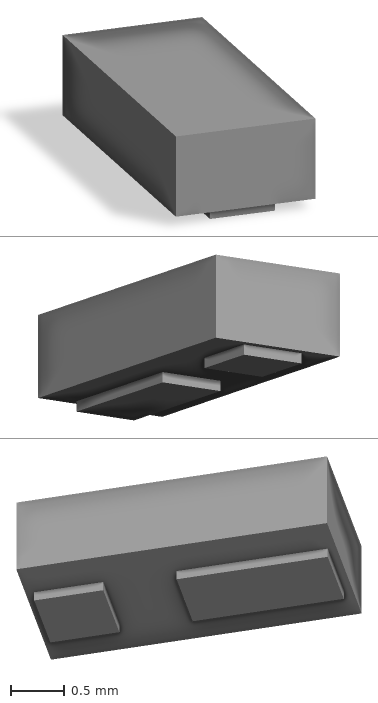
import cadquery as cq

body_length = 3.0
body_width = 1.4
overall_height = 0.9

pad_thickness = 0.1
pad_width = 0.65
pad_end_inset = 0.085
short_pad_length = 0.665
long_pad_length = 1.458

body_height = overall_height - pad_thickness


def make_body():
    """Plain rectangular package standing on top of the pads."""
    return (
        cq.Workplane("XY")
        .workplane(offset=pad_thickness)
        .rect(body_length, body_width)
        .extrude(body_height)
    )


def make_pad(length, end_side):
    """Contact pad inset from the -X end (end_side = -1) or the +X end (end_side = 1)."""
    center_x = end_side * (body_length / 2 - pad_end_inset - length / 2)
    return cq.Workplane("XY").center(center_x, 0).rect(length, pad_width).extrude(pad_thickness)


body = make_body()
pads = [
    make_pad(length, end_side).val()
    for length, end_side in ((short_pad_length, -1), (long_pad_length, 1))
]

result = cq.Compound.makeCompound([body.val(), *pads])